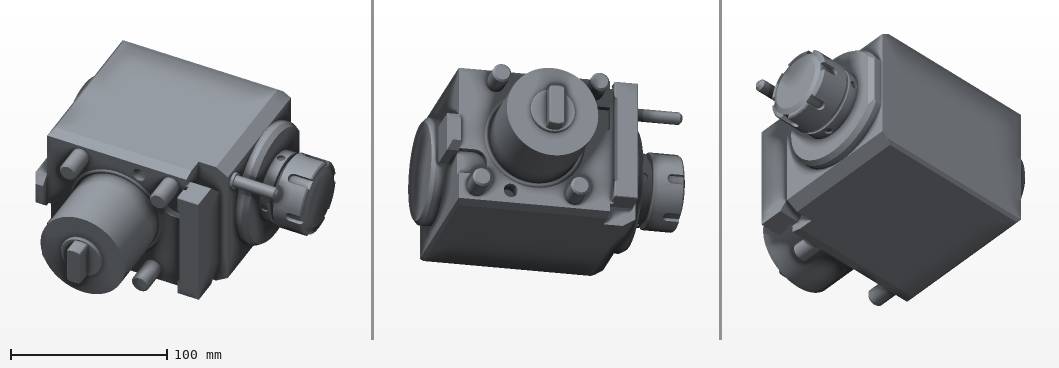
import cadquery as cq
import math


left_x = -50.0
front_right_x = 49.7
right_x = 70.7
back_y = 107.8
step_y = 17.7
half_height = 47.0
edge_chamfer = 2.0
front_chamfer_length = 7.5
right_chamfer_length = 8.5
right_chamfer_drop = 5.3

spindle_y = 69.8
cover_radius = 34.7
cover_thickness = 9.0
cover_chamfer = 2.5
flange_radius = 41.5
flange_end_x = 79.0
flange_flat_offset = 37.1
flange_chamfer_length = 3.5
flange_chamfer_drop = 2.2
neck_radius = 24.0
neck_end_x = 86.5
groove_radius = 20.5
nut_start_x = 89.2
nut_radius = 25.0
nut_edge_x = 108.7
nut_rim_x = 109.7
nut_rim_radius = 24.2
nut_end_x = 111.2
nut_face_radius = 18.4
nut_back_chamfer = 0.5
spanner_hole_x = 82.8
spanner_hole_radius = 2.7
spanner_hole_depth = 1.7
spanner_hole_count = 4
nut_slot_count = 6
nut_slot_width = 6.5
nut_slot_start_x = 98.3
nut_long_slot_start_x = 94.2
nut_long_slots = (1, 2)
nut_slot_floor_radius = 21.8

pin_y = 25.2
pin_z = 33.7
pin_radius = 4.1
pin_end_x = 102.9
pin_chamfer = 1.9
pin_collar_radius = 5.6
pin_collar_end_x = 72.7

spigot_radius = 30.1
spigot_length = 49.2
ring_inner_radius = spigot_radius
ring_outer_radius = 33.2
ring_height = 1.0
collar_radius = 14.6
collar_length = 2.4
collar_chamfer = 0.5
tang_end_y = -62.2
tang_radius = 13.3
tang_width = 9.9
tang_chamfer = 0.5
tang_corner_chamfer = 0.7
tang_root_radius = 0.9

bolt_row_z = 36.6
bolt_inner_x = 25.9
bolt_outer_x = 38.8
bolt_radius = 6.1
bolt_length = 19.0
bolt_chamfer = 1.2
dowel_x = 15.8
dowel_radius = 4.6
dowel_depth = 10.2
notch_depth = 5.1
left_notch_z = -18.9
left_notch_width = 16.9
left_notch_end_x = -31.3
right_notch_z = 18.9
right_notch_width = 15.7
right_notch_end_x = 32.2

key_outer_x = -57.9
key_back_y = 23.7
key_front_y = -6.1
key_half_height = 12.6
key_taper_length = 5.3
key_side_taper = 2.5
key_end_taper = 5.1

block_left_x = front_right_x
block_right_x = 65.0
block_front_y = -13.1
block_half_height = 39.7
block_slope_start_y = 5.1
block_edge_chamfer = 0.5
block_relief_depth = 1.7
block_relief_radius = 54.0
block_relief_y = 32.7


def box(x_range, y_range, z_range):
    """Box between two limits on each axis."""
    size = [limits[1] - limits[0] for limits in (x_range, y_range, z_range)]
    corner = (x_range[0], y_range[0], z_range[0])
    return cq.Workplane("XY").box(*size, centered=False).translate(corner)


def rod_x(y, z, radius, start_x, end_x):
    """Round bar along +X."""
    return cq.Workplane("YZ", origin=(start_x, y, z)).circle(radius).extrude(end_x - start_x)


def rod_y(x, z, radius, start_y, length):
    """Round bar from start_y towards -Y."""
    return cq.Workplane("XZ", origin=(x, start_y, z)).circle(radius).extrude(length)


def about_spindle(body, angle):
    """Copy of a body turned about the spindle axis."""
    return body.rotate((0, spindle_y, 0), (1, spindle_y, 0), angle)


def notch(edge_x, end_x, z, width):
    """Round-ended notch in the mounting face, open at the side face."""
    direction = math.copysign(1, edge_x)
    round_x = end_x + direction * width / 2
    return (
        cq.Workplane("XZ")
        .moveTo(edge_x, z - width / 2)
        .lineTo(round_x, z - width / 2)
        .threePointArc((end_x, z), (round_x, z + width / 2))
        .lineTo(edge_x, z + width / 2)
        .close()
        .extrude(-notch_depth)
    )


def make_housing():
    edge_z = half_height - edge_chamfer
    side_profile = [
        (0, edge_z),
        (front_chamfer_length, half_height),
        (back_y - edge_chamfer, half_height),
        (back_y, edge_z),
        (back_y, -edge_z),
        (back_y - edge_chamfer, -half_height),
        (front_chamfer_length, -half_height),
        (0, -edge_z),
    ]
    right_edge_z = half_height - right_chamfer_drop
    front_profile = [
        (left_x, edge_z),
        (left_x + edge_chamfer, half_height),
        (right_x - right_chamfer_length, half_height),
        (right_x, right_edge_z),
        (right_x, -right_edge_z),
        (right_x - right_chamfer_length, -half_height),
        (left_x + edge_chamfer, -half_height),
        (left_x, -edge_z),
    ]
    along_x = cq.Workplane("YZ", origin=(left_x, 0, 0)).polyline(side_profile).close()
    along_y = cq.Workplane("XZ").polyline(front_profile).close()
    housing = along_x.extrude(right_x - left_x).intersect(along_y.extrude(-back_y))

    housing = housing.cut(box((front_right_x, right_x), (0, step_y), (-half_height, half_height)))
    housing = housing.cut(notch(left_x, left_notch_end_x, left_notch_z, left_notch_width))
    housing = housing.cut(notch(front_right_x, right_notch_end_x, right_notch_z, right_notch_width))
    for side in (-1, 1):
        housing = housing.cut(
            rod_y(side * dowel_x, side * bolt_row_z, dowel_radius, dowel_depth, dowel_depth)
        )
    return housing


def make_cover():
    cover = rod_x(spindle_y, 0, cover_radius, left_x - cover_thickness, left_x)
    return cover.faces("<X").chamfer(cover_chamfer)


def make_flange():
    flange = rod_x(spindle_y, 0, flange_radius, right_x, flange_end_x)
    flat_y = spindle_y + flange_flat_offset
    flange = flange.intersect(
        box((right_x, flange_end_x), (0, flat_y), (-flange_radius, flange_radius))
    )
    rim = flange.faces(">X").edges()
    return rim.chamfer(flange_chamfer_length, flange_chamfer_drop)


def nut_slot(start_x):
    """Round-ended cutter on the -Y side of the nut, running out past the nut face."""
    slot_depth = nut_radius - nut_slot_floor_radius
    return (
        cq.Workplane("XZ", origin=(nut_end_x, spindle_y - nut_slot_floor_radius, 0))
        .slot2D(2 * (nut_end_x - start_x), nut_slot_width)
        .extrude(2 * slot_depth)
    )


def make_chuck():
    turned_profile = [
        (flange_end_x, 0),
        (flange_end_x, neck_radius),
        (neck_end_x, neck_radius),
        (neck_end_x, groove_radius),
        (nut_start_x, groove_radius),
        (nut_start_x, nut_radius - nut_back_chamfer),
        (nut_start_x + nut_back_chamfer, nut_radius),
        (nut_edge_x, nut_radius),
        (nut_rim_x, nut_rim_radius),
        (nut_rim_x, nut_slot_floor_radius),
        (nut_end_x, nut_face_radius),
        (nut_end_x, 0),
    ]
    chuck = (
        cq.Workplane("XY", origin=(0, spindle_y, 0))
        .polyline(turned_profile)
        .close()
        .revolve(360, (0, 0, 0), (1, 0, 0))
    )

    hole = (
        cq.Workplane("XY", origin=(spanner_hole_x, spindle_y, neck_radius - spanner_hole_depth))
        .circle(spanner_hole_radius)
        .extrude(2 * spanner_hole_depth)
    )
    for index in range(spanner_hole_count):
        chuck = chuck.cut(about_spindle(hole, index * 360 / spanner_hole_count))

    for index in range(nut_slot_count):
        start_x = nut_long_slot_start_x if index in nut_long_slots else nut_slot_start_x
        chuck = chuck.cut(about_spindle(nut_slot(start_x), -index * 360 / nut_slot_count))
    return chuck


def make_coolant_pin():
    pin = rod_x(pin_y, pin_z, pin_radius, right_x, pin_end_x).faces(">X").chamfer(pin_chamfer)
    return pin.union(rod_x(pin_y, pin_z, pin_collar_radius, right_x, pin_collar_end_x))


def make_tang():
    """Flat drive tang with rounded ends and a fillet along each side of its root."""
    root_y = -spigot_length - collar_length
    tang = rod_y(0, 0, tang_radius, root_y, root_y - tang_end_y)
    side_limits = (-tang_width / 2, tang_width / 2)
    tang = tang.intersect(box(side_limits, (tang_end_y, root_y), (-tang_radius, tang_radius)))
    tang = tang.edges("|Y").chamfer(tang_corner_chamfer)
    tang = tang.faces("<Y").chamfer(tang_chamfer)

    flat_half_height = math.sqrt(tang_radius**2 - (tang_width / 2) ** 2) - tang_corner_chamfer
    for side in (-1, 1):
        side_x = side * tang_width / 2
        arc_offset = tang_root_radius * (1 - math.sqrt(0.5))
        fillet = (
            cq.Workplane("XY")
            .moveTo(side_x, root_y)
            .lineTo(side_x, root_y - tang_root_radius)
            .threePointArc(
                (side_x + side * arc_offset, root_y - arc_offset),
                (side_x + side * tang_root_radius, root_y),
            )
            .close()
            .extrude(flat_half_height, both=True)
        )
        tang = tang.union(fillet)
    return tang


def make_drive():
    spigot = rod_y(0, 0, spigot_radius, 0, spigot_length)
    collar = rod_y(0, 0, collar_radius, -spigot_length, collar_length)
    collar = collar.faces("<Y").chamfer(collar_chamfer)

    ring = (
        cq.Workplane("XY")
        .moveTo(ring_inner_radius, 0)
        .threePointArc(
            ((ring_inner_radius + ring_outer_radius) / 2, -ring_height), (ring_outer_radius, 0)
        )
        .close()
        .revolve(360, (0, 0, 0), (0, 1, 0))
    )
    return spigot.union(collar).union(make_tang()).union(ring)


def make_bolts():
    bolt = rod_y(0, 0, bolt_radius, 0, bolt_length).faces("<Y").chamfer(bolt_chamfer)
    bolts = cq.Workplane("XY")
    for side in (-1, 1):
        for x in (-side * bolt_inner_x, side * bolt_outer_x):
            bolts = bolts.union(bolt.translate((x, 0, side * bolt_row_z)))
    return bolts


def make_key():
    taper_y = key_front_y + key_taper_length
    top_profile = [
        (left_x, key_back_y),
        (key_outer_x, key_back_y),
        (key_outer_x, taper_y),
        (key_outer_x + key_side_taper, key_front_y),
        (left_x, key_front_y),
    ]
    end_half_height = key_half_height - key_end_taper
    side_profile = [
        (key_back_y, key_half_height),
        (taper_y, key_half_height),
        (key_front_y, end_half_height),
        (key_front_y, -end_half_height),
        (taper_y, -key_half_height),
        (key_back_y, -key_half_height),
    ]
    from_top = cq.Workplane("XY").polyline(top_profile).close().extrude(key_half_height, both=True)
    from_side = cq.Workplane("YZ", origin=(key_outer_x, 0, 0)).polyline(side_profile).close()
    return from_top.intersect(from_side.extrude(left_x - key_outer_x))


def make_block():
    back_half_height = block_half_height - (step_y - block_slope_start_y)
    side_profile = [
        (block_front_y, block_half_height),
        (block_slope_start_y, block_half_height),
        (step_y, back_half_height),
        (step_y, -back_half_height),
        (block_slope_start_y, -block_half_height),
        (block_front_y, -block_half_height),
    ]
    block = cq.Workplane("YZ", origin=(block_left_x, 0, 0)).polyline(side_profile).close()
    block = block.extrude(block_right_x - block_left_x)
    block = block.faces("<Y").chamfer(block_edge_chamfer)

    relief_end_x = block_left_x + block_relief_depth
    relief = rod_x(block_relief_y, 0, block_relief_radius, block_left_x, relief_end_x)
    ahead_of_face = box(
        (block_left_x, relief_end_x), (block_front_y, 0), (-block_half_height, block_half_height)
    )
    return block.cut(relief.intersect(ahead_of_face))


result = make_housing()
for component in (
    make_cover(),
    make_flange(),
    make_chuck(),
    make_coolant_pin(),
    make_drive(),
    make_bolts(),
    make_key(),
    make_block(),
):
    result = result.union(component)